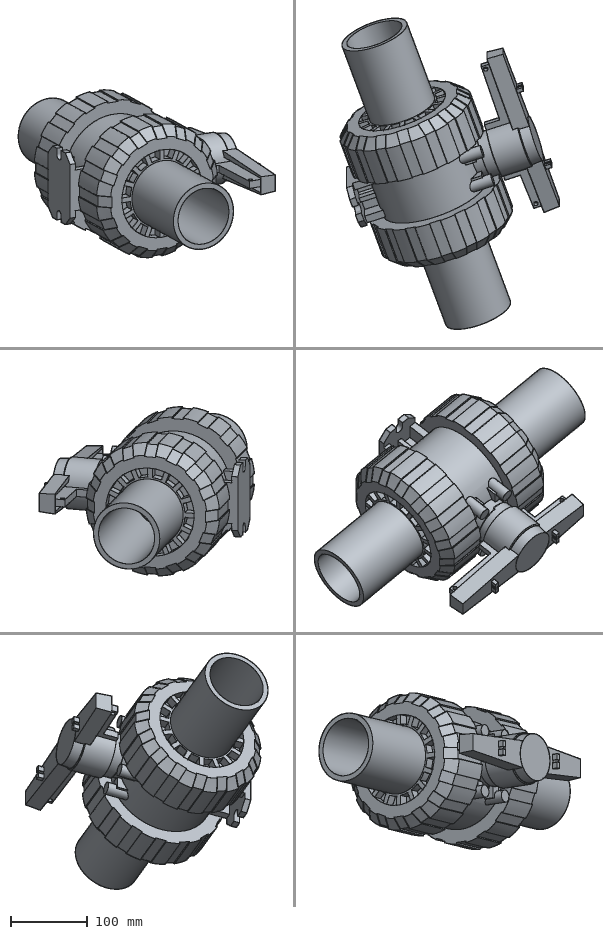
import cadquery as cq


total_length = 414.0
pipe_diameter = 90.3
bore_diameter = 76.0
socket_diameter = 120.0
collar_diameter = 95.2
rib_count = 16
flange_rib_width = 6.5
pocket_depth = 12.5

barrel_diameter = 144.0
nut_inner_x = 34.5
nut_outer_x = 96.5
nut_diameter = 181.7
nut_radius = nut_diameter / 2
nut_face_radius = 77.5
nut_chamfer = nut_radius - nut_face_radius
flute_count = 16
flute_width = 15.0
flute_radius = 88.5
flute_face_radius = 75.5

pad_face_y = -100.0
pad_thickness = 8.3
pad_back_y = pad_face_y + pad_thickness
pad_width = 58.8
pad_height = 98.5
pad_corner_cut = 12.5
pad_slot_width = 11.5
pad_slot_depth = 14.0
pad_wall_thickness = 10.0
pad_wall_height = 56.0
pad_web_height = 8.3
pad_boss_diameter = 14.0
pad_rib_width = 6.2
pad_rib_height = 35.5

post_diameter = 16.0
post_x = 21.0
post_z = 40.0
post_top_y = 84.5
post_web_inner_x = 10.5
post_web_top_y = 73.0
post_web_top_z = 42.5
post_web_bottom_z = 25.0

boss_diameter = 56.7
neck_diameter = 60.5
neck_bottom_y = 80.0
neck_stop_step = 2.5
hub_diameter = 68.5
hub_bottom_y = 95.0
hub_top_y = 137.5
hub_chamfer = 1.2
cap_base_diameter = 64.5
cap_top_diameter = 62.0
cap_top_y = 151.5

lever_left_x = -97.0
lever_right_x = 131.2
lever_bottom_y = 129.0
lever_top_y = 151.0
lever_left_half_width = 13.5
lever_right_half_width = 12.5
lever_hub_half_width = 19.0
lever_cavity_hub_half_width = 11.0
lever_hub_x = 29.0
lever_draft = 3.3
lever_wall = 2.5
lever_plate_width = 10.0
plate_left_x = -90.3
plate_right_x = 120.5
plate_end_y = 117.5
plate_inner_y = 116.0
plate_hub_left_x = -40.5
plate_hub_right_x = 42.0
lever_hole_diameter = 5.5
lever_hole_y = 122.0
lever_hole_inset = 5.5
clip_positions_x = (-39.5, 74.0)
clip_width = 5.5
clip_middle_width = 3.0
clip_length = 19.0
clip_middle_length = 3.5
clip_top_y = 159.0

joint = 4.0


def box(x0, x1, y0, y1, z0, z1):
    """Axis-aligned block between two corners."""
    return cq.Workplane("XY").box(x1 - x0, y1 - y0, z1 - z0, centered=False).translate((x0, y0, z0))


def x_cylinder(diameter, x0, x1):
    """Cylinder about the pipe axis."""
    return cq.Workplane("YZ").workplane(offset=x0).circle(diameter / 2).extrude(x1 - x0)


def y_cylinder(diameter, y0, y1, x=0.0, z=0.0):
    """Cylinder parallel to the stem axis."""
    return cq.Workplane("XZ", origin=(0, y0, 0)).center(x, z).circle(diameter / 2).extrude(y0 - y1)


def make_nut():
    """Fluted union nut at the +X end, with an open socket for the connector flange."""
    shoulder_x = nut_outer_x - nut_chamfer
    nut = (
        cq.Workplane("XY")
        .moveTo(nut_inner_x, 0)
        .lineTo(nut_inner_x, nut_radius)
        .lineTo(shoulder_x, nut_radius)
        .lineTo(nut_outer_x, nut_face_radius)
        .lineTo(nut_outer_x, 0)
        .close()
        .revolve(360, (0, 0, 0), (1, 0, 0))
    )
    clear_radius = nut_radius + joint
    flute = (
        cq.Workplane("XZ")
        .moveTo(nut_inner_x, flute_radius)
        .lineTo(shoulder_x, flute_radius)
        .lineTo(nut_outer_x, flute_face_radius)
        .lineTo(nut_outer_x, clear_radius)
        .lineTo(nut_inner_x, clear_radius)
        .close()
        .extrude(flute_width / 2, both=True)
    )
    for i in range(flute_count):
        nut = nut.cut(flute.rotate((0, 0, 0), (1, 0, 0), i * 360 / flute_count))
    return nut.cut(x_cylinder(socket_diameter, nut_inner_x, nut_outer_x))


def make_pad():
    """Notched mounting plate with its walls, web and centre boss."""
    plate = (
        box(-pad_width / 2, pad_width / 2, pad_face_y, pad_back_y, -pad_height / 2, pad_height / 2)
        .edges("|Y")
        .chamfer(pad_corner_cut)
    )
    slot_radius = pad_slot_width / 2
    slot_centre_z = pad_height / 2 - pad_slot_depth + slot_radius
    for side in (-1, 1):
        z_low, z_high = sorted((side * slot_centre_z, side * pad_height / 2))
        plate = plate.cut(box(-slot_radius, slot_radius, pad_face_y, pad_back_y, z_low, z_high))
        plate = plate.cut(y_cylinder(pad_slot_width, pad_face_y, pad_back_y, z=side * slot_centre_z))

    def support(x0, x1, height):
        return box(x0, x1, pad_back_y, -bore_diameter / 2 - joint, -height / 2, height / 2)

    wall_inner_x = pad_width / 2 - pad_wall_thickness
    pad = plate.union(support(-pad_width / 2, -wall_inner_x, pad_wall_height))
    pad = pad.union(support(wall_inner_x, pad_width / 2, pad_wall_height))
    pad = pad.union(support(-wall_inner_x, wall_inner_x, pad_web_height))
    pad = pad.union(support(-pad_rib_width / 2, pad_rib_width / 2, pad_rib_height))
    return pad.union(y_cylinder(pad_boss_diameter, pad_back_y, -bore_diameter / 2 - joint))


def make_post():
    """Post at +X, +Z, with the short web that ties it to the stem boss."""
    post = y_cylinder(post_diameter, bore_diameter / 2, post_top_y, post_x, post_z)
    web_bottom_y = bore_diameter / 2 + joint
    web = box(post_web_inner_x, post_x, web_bottom_y, post_web_top_y, post_web_bottom_z, post_web_top_z)
    return post.union(web)


def make_stem():
    """Boss, neck with its rotation stop, hub and tapered cap."""
    neck = y_cylinder(neck_diameter, neck_bottom_y, hub_bottom_y)
    neck_radius = neck_diameter / 2
    neck = neck.cut(box(0, neck_radius, neck_bottom_y, neck_bottom_y + neck_stop_step, 0, neck_radius))
    boss = y_cylinder(boss_diameter, bore_diameter / 2 + joint, hub_bottom_y)
    hub = y_cylinder(hub_diameter, hub_bottom_y, hub_top_y).faces(">Y").chamfer(hub_chamfer)
    cap = (
        cq.Workplane("XY")
        .moveTo(0, hub_top_y)
        .lineTo(cap_base_diameter / 2, hub_top_y)
        .lineTo(cap_top_diameter / 2, cap_top_y)
        .lineTo(0, cap_top_y)
        .close()
        .revolve(360, (0, 0, 0), (0, 1, 0))
    )
    return boss.union(neck).union(hub).union(cap)


def lever_prism(inset, hub_half, top_y):
    """Drafted prism of the lever outline; its ends move in by the inset, its waist has its own half width."""
    left = lever_left_x + inset
    right = lever_right_x - inset
    left_half = lever_left_half_width - inset
    right_half = lever_right_half_width - inset
    outline = [
        (left, -left_half),
        (-lever_hub_x, -hub_half),
        (lever_hub_x, -hub_half),
        (right, -right_half),
        (right, right_half),
        (lever_hub_x, hub_half),
        (-lever_hub_x, hub_half),
        (left, left_half),
    ]
    return (
        cq.Workplane("XZ", origin=(0, lever_bottom_y, 0))
        .polyline(outline)
        .close()
        .extrude(lever_bottom_y - top_y, taper=lever_draft)
    )


def make_clip(x):
    """Clip with a narrower middle, standing on the outer face of the lever."""
    clip = box(
        x - clip_width / 2,
        x + clip_width / 2,
        lever_top_y - lever_wall,
        clip_top_y,
        -clip_length / 2,
        clip_length / 2,
    )
    for side in (-1, 1):
        x_low, x_high = sorted((x + side * clip_middle_width / 2, x + side * clip_width / 2))
        clip = clip.cut(
            box(x_low, x_high, lever_top_y, clip_top_y, -clip_middle_length / 2, clip_middle_length / 2)
        )
    return clip


def make_lever():
    """Channel-shaped lever with its drilled centre plate and two clips."""
    outside = lever_prism(0, lever_hub_half_width, lever_top_y)
    inside = lever_prism(lever_wall, lever_cavity_hub_half_width, lever_top_y - lever_wall)
    channel = outside.cut(inside)
    plate_top_y = lever_top_y - lever_wall / 2
    plate_outline = [
        (plate_left_x, plate_top_y),
        (plate_left_x, plate_end_y),
        (plate_hub_left_x, plate_inner_y),
        (plate_hub_left_x, hub_bottom_y),
        (plate_hub_right_x, hub_bottom_y),
        (plate_hub_right_x, plate_inner_y),
        (plate_right_x, plate_end_y),
        (plate_right_x, plate_top_y),
    ]
    plate = cq.Workplane("XY").polyline(plate_outline).close().extrude(lever_plate_width / 2, both=True)
    holes = (
        cq.Workplane("XY")
        .pushPoints(
            [
                (plate_left_x + lever_hole_inset, lever_hole_y),
                (plate_right_x - lever_hole_inset, lever_hole_y),
            ]
        )
        .circle(lever_hole_diameter / 2)
        .extrude(lever_plate_width, both=True)
    )
    lever = channel.union(plate.cut(holes))
    for x in clip_positions_x:
        lever = lever.union(make_clip(x))
    return lever


def make_valve():
    """Barrel, union nuts, mounting pad, posts, stem and lever as one body."""
    valve = x_cylinder(barrel_diameter, -nut_inner_x, nut_inner_x)
    nut = make_nut()
    valve = valve.union(nut).union(nut.mirror("YZ"))
    valve = valve.union(make_pad()).union(make_stem()).union(make_lever())
    post = make_post()
    for upper_post in (post, post.mirror("YZ")):
        valve = valve.union(upper_post).union(upper_post.mirror("XY"))
    return valve.cut(x_cylinder(bore_diameter, -nut_inner_x, nut_inner_x))


def make_connector():
    """Pipe end at +X with a ribbed flange that fills the socket of the nut."""
    flange = x_cylinder(socket_diameter, nut_inner_x, nut_outer_x)
    pocket_floor_x = nut_outer_x - pocket_depth
    pockets = x_cylinder(socket_diameter, pocket_floor_x, nut_outer_x)
    pockets = pockets.cut(x_cylinder(collar_diameter, pocket_floor_x, nut_outer_x))
    half_width = flange_rib_width / 2
    rib = box(pocket_floor_x, nut_outer_x, -half_width, half_width, 0, socket_diameter / 2 + joint)
    for i in range(rib_count):
        pockets = pockets.cut(rib.rotate((0, 0, 0), (1, 0, 0), i * 360 / rib_count))
    pipe = x_cylinder(pipe_diameter, nut_inner_x, total_length / 2)
    connector = flange.cut(pockets).union(pipe)
    return connector.cut(x_cylinder(bore_diameter, nut_inner_x, total_length / 2))


valve = make_valve()
connectors = [make_connector().rotate((0, 0, 0), (0, 0, 1), turn) for turn in (0, 180)]

result = cq.Compound.makeCompound([valve.val(), *[connector.val() for connector in connectors]])